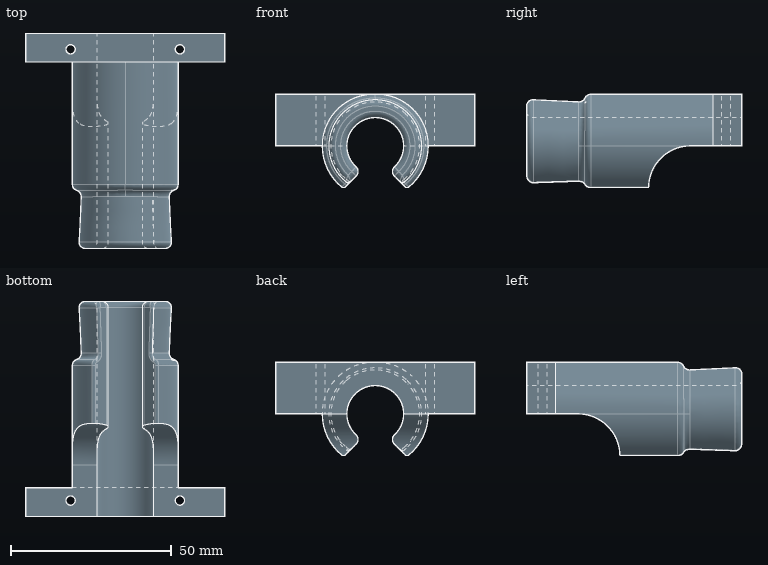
import cadquery as cq
import math

BAR_WIDTH = 62.0
BAR_DEPTH = 9.0
TUBE_RADIUS = 16.5
TUBE_TOP_HEIGHT = 16.1
TUBE_LENGTH = 40.0
COLLAR_LENGTH = 18.0
NECK_RADIUS = 13.65
COLLAR_END_RADIUS = 14.5
BORE_RADIUS = 8.8
EDGE_RADIUS = 2.0
SLOT_OUTER_EDGE_RADIUS = 0.8
SLOT_HALF_ANGLE = 45.0
SLOT_APEX_DEPTH = 3.45
SCOOP_RADIUS = 13.0
SCOOP_END = 20.0
HOLE_DIAMETER = 2.8
HOLE_SPACING = 34.0
HOLE_SETBACK = 4.0

TOTAL_LENGTH = TUBE_LENGTH + COLLAR_LENGTH
TOP_ARC_RADIUS = (TUBE_RADIUS**2 + TUBE_TOP_HEIGHT**2) / (2 * TUBE_RADIUS)
CLEARANCE = 5.0
EDGE_TOLERANCE = 0.1


def along_tube(start):
    """Sketch plane across the tube; extruding goes toward the collar's free end."""
    return cq.Workplane("XZ", origin=(0, -start, 0))


def mounting_bar():
    """Bar behind the tube with two vertical screw holes."""
    bar = cq.Workplane("XY").box(BAR_WIDTH, BAR_DEPTH, TUBE_TOP_HEIGHT, centered=(True, False, False))
    holes = (
        cq.Workplane("XY")
        .pushPoints([(-HOLE_SPACING / 2, HOLE_SETBACK), (HOLE_SPACING / 2, HOLE_SETBACK)])
        .circle(HOLE_DIAMETER / 2)
        .extrude(TUBE_TOP_HEIGHT)
    )
    return bar.cut(holes)


def tube():
    """Solid tube: a round lower half and two flatter upper quarters, rounded at its end."""
    side = (TUBE_RADIUS, 0)
    top = (0, TUBE_TOP_HEIGHT)
    opposite_side = (-TUBE_RADIUS, 0)
    return (
        along_tube(0)
        .moveTo(*opposite_side)
        .radiusArc(top, TOP_ARC_RADIUS)
        .radiusArc(side, TOP_ARC_RADIUS)
        .radiusArc(opposite_side, TUBE_RADIUS)
        .close()
        .extrude(TUBE_LENGTH)
        .faces("<Y")
        .edges()
        .fillet(EDGE_RADIUS)
    )


def collar():
    """Solid cone that widens toward the free end; its thin part lies inside the tube."""
    slope = (COLLAR_END_RADIUS - NECK_RADIUS) / COLLAR_LENGTH
    return (
        cq.Workplane("XY")
        .lineTo(NECK_RADIUS - slope * TUBE_LENGTH, 0)
        .lineTo(COLLAR_END_RADIUS, -TOTAL_LENGTH)
        .lineTo(0, -TOTAL_LENGTH)
        .close()
        .revolve(360, (0, 0, 0), (0, 1, 0))
    )


def bore():
    """Round passage through bar, tube and collar."""
    return along_tube(-BAR_DEPTH).circle(BORE_RADIUS).extrude(BAR_DEPTH + TOTAL_LENGTH)


def slot():
    """Wedge that opens the bore downward along the whole tube."""
    depth = TUBE_RADIUS + CLEARANCE
    half_width = (depth - SLOT_APEX_DEPTH) * math.tan(math.radians(SLOT_HALF_ANGLE))
    return (
        along_tube(-BAR_DEPTH)
        .moveTo(0, -SLOT_APEX_DEPTH)
        .lineTo(half_width, -depth)
        .lineTo(-half_width, -depth)
        .close()
        .extrude(BAR_DEPTH + TOTAL_LENGTH)
    )


def scoop():
    """Quarter-round relief that clears the tube's lower half next to the bar."""
    bottom = -TUBE_RADIUS - CLEARANCE
    return (
        cq.Workplane("YZ", origin=(-BAR_WIDTH / 2, 0, 0))
        .lineTo(-(SCOOP_END - SCOOP_RADIUS), 0)
        .radiusArc((-SCOOP_END, -SCOOP_RADIUS), -SCOOP_RADIUS)
        .lineTo(-SCOOP_END, bottom)
        .lineTo(0, bottom)
        .close()
        .extrude(BAR_WIDTH)
    )


def is_slot_inner_edge(edge):
    """Straight edge where a slot wall meets the bore."""
    middle = edge.Center()
    on_bore = abs(math.hypot(middle.x, middle.z) - BORE_RADIUS) < EDGE_TOLERANCE
    return edge.geomType() == "LINE" and on_bore


def is_slot_outer_edge(edge):
    """Lengthwise edge, along tube, step or collar, where a slot wall meets the outside."""
    middle = edge.Center()
    box = edge.BoundingBox()
    lengthwise = box.ylen > EDGE_TOLERANCE
    wall_x = -(middle.z + SLOT_APEX_DEPTH) * math.tan(math.radians(SLOT_HALF_ANGLE))
    on_wall = abs(abs(middle.x) - wall_x) < EDGE_TOLERANCE
    outside = math.hypot(middle.x, middle.z) > BORE_RADIUS + 2 * EDGE_RADIUS
    return lengthwise and on_wall and outside


def is_neck_edge(edge):
    """Edge in the inner corner where the tube's end face meets the collar."""
    box = edge.BoundingBox()
    in_end_face = box.ylen < EDGE_TOLERANCE and abs(box.ymin + TUBE_LENGTH) < EDGE_TOLERANCE
    inside_rounding = max(box.xmax, -box.xmin) < NECK_RADIUS + EDGE_TOLERANCE
    return in_end_face and inside_rounding


def edges_where(body, test):
    """Select the body's edges that pass the test."""
    return body.newObject([edge for edge in body.edges().vals() if test(edge)])


def open_sleeve():
    """Tube and collar with bore and slot, rounded along the slot and around the free end."""
    sleeve = tube().union(collar())
    sleeve = edges_where(sleeve, is_neck_edge).fillet(EDGE_RADIUS)
    sleeve = sleeve.cut(bore()).cut(slot())
    sleeve = edges_where(sleeve, is_slot_inner_edge).fillet(EDGE_RADIUS)
    sleeve = edges_where(sleeve, is_slot_outer_edge).fillet(SLOT_OUTER_EDGE_RADIUS)
    return sleeve.faces("<Y").edges().fillet(EDGE_RADIUS)


result = mounting_bar().union(open_sleeve()).cut(bore()).cut(scoop())